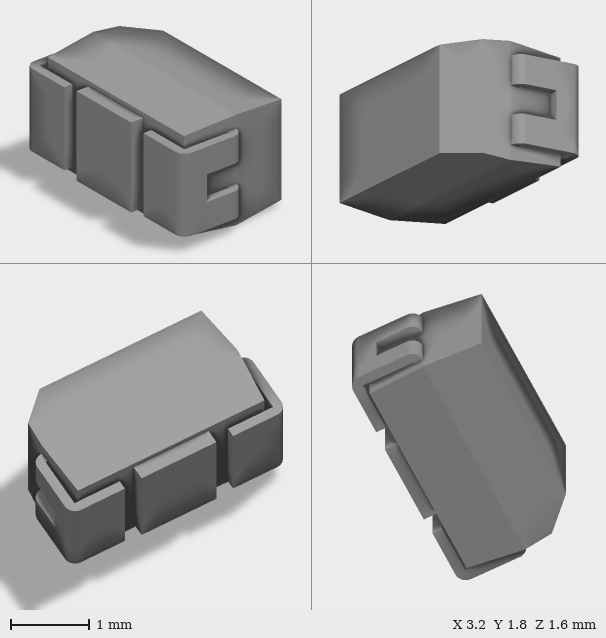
import cadquery as cq
import math

overall_length = 3.2
stand_off = 0.2

case_length = 2.9
case_width = 1.6
half_height = 0.8
draft_angle = 5.0
chamfer_start = 0.365
parting_y = stand_off + half_height
top_y = parting_y + half_height
draft_inset = half_height * math.tan(math.radians(draft_angle))

pad_length = 1.107
pad_width = 1.3

lead_width = 1.2
lead_thickness = 0.13
lead_reach = 0.8
lead_radius = 0.15
slot_width = lead_width / 3
slot_depth = 0.6


def box_between(x_range, y_range, width):
    """Box over the given X and Y ranges, centred on z = 0."""
    x_start, x_end = x_range
    y_start, y_end = y_range
    return cq.Workplane("XY").box(x_end - x_start, y_end - y_start, width).translate(
        ((x_start + x_end) / 2, (y_start + y_end) / 2, 0)
    )


def make_case_half(direction):
    """Tapered half reaching from the parting plane along +Y or -Y."""
    plane = cq.Plane(origin=(0, parting_y, 0), xDir=(1, 0, 0), normal=(0, direction, 0))
    return (
        cq.Workplane(plane)
        .rect(case_length, case_width)
        .extrude(half_height, taper=draft_angle)
    )


def make_case_blank():
    """Case with its polarity chamfer, before the lead pockets are cut."""
    chamfer_x = -case_length / 2 + draft_inset + chamfer_start
    wedge_leg = half_height
    wedge = (
        cq.Workplane("XY")
        .moveTo(chamfer_x, top_y)
        .lineTo(chamfer_x - wedge_leg, top_y)
        .lineTo(chamfer_x - wedge_leg, top_y - wedge_leg)
        .close()
        .extrude(case_width / 2, both=True)
    )
    return make_case_half(1).union(make_case_half(-1)).cut(wedge)


def make_left_lead(case_blank):
    """C-shaped lead; its slot ends at the sloping wall of the case."""
    outer_x = -overall_length / 2
    tip_x = outer_x + lead_reach
    lead = box_between((outer_x, tip_x), (0, parting_y), lead_width)
    lead = lead.edges("|Z and <X").fillet(lead_radius)
    hollow = box_between(
        (outer_x + lead_thickness, tip_x),
        (lead_thickness, parting_y - lead_thickness),
        lead_width,
    )
    slot = box_between((outer_x, tip_x), (parting_y - slot_depth, parting_y), slot_width)
    return lead.cut(hollow).cut(slot.cut(case_blank))


def make_pad():
    """Rectangular pad filling the gap below the case."""
    return box_between((-pad_length / 2, pad_length / 2), (0, stand_off), pad_width)


case_blank = make_case_blank()
left_lead = make_left_lead(case_blank)
leads = []
for turn in (0, 180):
    leads.append(left_lead.rotate((0, 0, 0), (0, 1, 0), turn))

case = case_blank
for lead in leads:
    case = case.cut(lead)

pad = make_pad()

result = cq.Compound.makeCompound(
    [case.solids().val(), pad.val(), *[lead.solids().val() for lead in leads]]
)